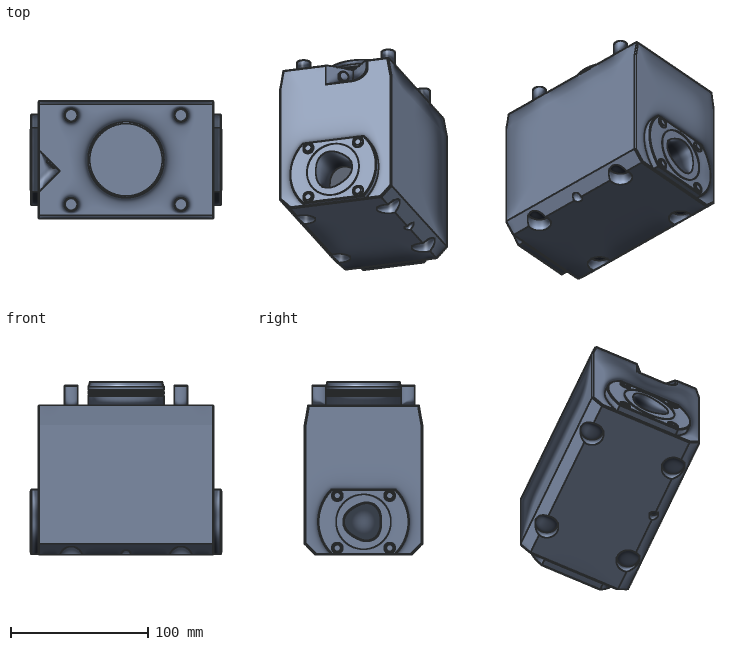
import cadquery as cq
import math

BODY_LENGTH = 128.0
BODY_WIDTH = 86.0
BODY_HEIGHT = 109.0
TOP_TAPER_ANGLE = 10.0
TOP_TAPER_HEIGHT = 14.6
BOTTOM_CHAMFER = 8.0
END_CHAMFER = 0.9

SPIGOT_HEIGHT = 17.0
SPIGOT_RADIUS = 55.4 / 2
SPIGOT_TOP_RADIUS = 52.8 / 2
SPIGOT_TAPER_RADIUS = 54.0 / 2
SPIGOT_TAPER_TOP = 14.8
SPIGOT_TAPER_BOTTOM = 13.3
GROOVE_DEPTH = 1.1
GROOVE_HALF_WIDTH = 1.0
UPPER_GROOVE_Z = 10.4
LOWER_GROOVE_Z = 7.5

SCREW_SPACING_X = 80.0
SCREW_SPACING_Y = 65.0
SCREW_DIAMETER = 10.0
SCREW_PROJECTION = 14.5
SCREW_TIP_CHAMFER = 0.6
HEAD_BORE_DIAMETER = 17.0
HEAD_BORE_DEPTH = 10.0

EDGE_BORE_DIAMETER = 6.9
EDGE_BORE_DEPTH = 10.0

FLANGE_THICKNESS = 5.4
FLANGE_DIAMETER = 66.5
FLANGE_HALF_HEIGHT = 23.7
FLANGE_EDGE_CHAMFER = 0.6
RING_DIAMETER = 40.0
OVERALL_LENGTH = 139.91
FLANGE_CENTRE_HEIGHT = 24.0
FLANGE_Z = FLANGE_CENTRE_HEIGHT - BODY_HEIGHT

FLANGE_SCREW_OFFSET = 19.1
FLANGE_BORE_DIAMETER = 8.0
FLANGE_BORE_DEPTH = 0.4
FLANGE_SCREW_DIAMETER = 7.2
FLANGE_SCREW_PROJECTION = 0.5
FLANGE_SCREW_RISE = FLANGE_BORE_DEPTH + FLANGE_SCREW_PROJECTION
FLANGE_SCREW_CONE_HEIGHT = 0.8
FLANGE_SCREW_CONE_WIDTH = 1.1

SOCKET_RADIUS = 14.0
SOCKET_LOBES = 3
SOCKET_LOBE_HEIGHT = 0.9
SOCKET_DEPTH = 30.0
SOCKET_TAPER_ANGLE = 1.4
SOCKET_POINTS = 24

POCKET_APEX_X = -48.2
POCKET_APEX_Y = -8.2
POCKET_DEPTH = 14.6
POCKET_FILLET = 8.5
POCKET_OPEN_WAY = (-1, -1, 0)
PLUG_DIAMETER = 8.0
PLUG_PROJECTION = 2.0
PLUG_CHAMFER = 0.6
PLUG_FROM_APEX = 8.2
PLUG_Z = -7.1

HALF_LENGTH = BODY_LENGTH / 2
HALF_WIDTH = BODY_WIDTH / 2


def make_body():
    """Block with tapered upper sides and chamfered lower edges."""
    top_half_width = HALF_WIDTH - TOP_TAPER_HEIGHT * math.tan(math.radians(TOP_TAPER_ANGLE))
    half_outline = [
        (top_half_width, 0),
        (HALF_WIDTH, -TOP_TAPER_HEIGHT),
        (HALF_WIDTH, BOTTOM_CHAMFER - BODY_HEIGHT),
        (HALF_WIDTH - BOTTOM_CHAMFER, -BODY_HEIGHT),
    ]
    mirrored = [(-y, z) for y, z in reversed(half_outline)]
    section = cq.Workplane("YZ").polyline(half_outline + mirrored).close()
    return section.extrude(HALF_LENGTH, both=True)


def pocket_plane():
    """Plane of the pocket's flat wall: origin at the apex, x towards it along the wall, y up."""
    return cq.Plane(origin=(POCKET_APEX_X, POCKET_APEX_Y, 0), xDir=(1, -1, 0), normal=POCKET_OPEN_WAY)


def make_pocket():
    """Pocket with a rounded corner between its floor and its second wall."""
    reach = 2 * (HALF_LENGTH + POCKET_APEX_X)
    return (
        cq.Workplane(pocket_plane())
        .lineTo(0, POCKET_FILLET - POCKET_DEPTH)
        .radiusArc((-POCKET_FILLET, -POCKET_DEPTH), POCKET_FILLET)
        .lineTo(-reach, -POCKET_DEPTH)
        .lineTo(-reach, 0)
        .close()
        .extrude(reach)
    )


def chamfer_ends(block):
    """Chamfer the end-face edges, leaving sharp the upright edge of the pocket's flat wall."""
    wall_edge_y = POCKET_APEX_Y + HALF_LENGTH + POCKET_APEX_X
    near = END_CHAMFER / 2
    wall_edge = cq.selectors.BoxSelector(
        (-HALF_LENGTH - near, wall_edge_y - near, -POCKET_DEPTH),
        (-HALF_LENGTH + near, wall_edge_y + near, 0),
    )
    all_but_wall_edge = cq.selectors.SubtractSelector(cq.selectors.Selector(), wall_edge)
    return block.faces("<X or >X").edges(all_but_wall_edge).chamfer(END_CHAMFER)


def make_plug():
    """Plug standing out of the pocket's flat wall."""
    return (
        cq.Workplane(pocket_plane())
        .center(-PLUG_FROM_APEX, PLUG_Z)
        .circle(PLUG_DIAMETER / 2)
        .extrude(PLUG_PROJECTION)
        .faces(cq.selectors.DirectionMinMaxSelector(cq.Vector(POCKET_OPEN_WAY)))
        .chamfer(PLUG_CHAMFER)
    )


def make_spigot():
    """Turned spigot with a tapered nose and two V grooves."""
    profile = [
        (0, 0),
        (SPIGOT_RADIUS, 0),
    ]
    for groove_z in (LOWER_GROOVE_Z, UPPER_GROOVE_Z):
        profile += [
            (SPIGOT_RADIUS, groove_z - GROOVE_HALF_WIDTH),
            (SPIGOT_RADIUS - GROOVE_DEPTH, groove_z),
            (SPIGOT_RADIUS, groove_z + GROOVE_HALF_WIDTH),
        ]
    profile += [
        (SPIGOT_RADIUS, SPIGOT_TAPER_BOTTOM),
        (SPIGOT_TAPER_RADIUS, SPIGOT_TAPER_TOP),
        (SPIGOT_TOP_RADIUS, SPIGOT_HEIGHT),
        (0, SPIGOT_HEIGHT),
    ]
    return cq.Workplane("XZ").polyline(profile).close().revolve(360, (0, 0), (0, 1))


def make_screws():
    """Four chamfered screw shanks standing on the mounting face."""
    return (
        cq.Workplane("XY")
        .rect(SCREW_SPACING_X, SCREW_SPACING_Y, forConstruction=True)
        .vertices()
        .circle(SCREW_DIAMETER / 2)
        .extrude(SCREW_PROJECTION)
        .faces(">Z")
        .chamfer(SCREW_TIP_CHAMFER)
    )


def make_bottom_bores():
    """Head bores in line with the screws, and the small bore at the front bottom edge."""
    bottom = cq.Workplane("XY", origin=(0, 0, -BODY_HEIGHT))
    head_bores = (
        bottom.rect(SCREW_SPACING_X, SCREW_SPACING_Y, forConstruction=True)
        .vertices()
        .circle(HEAD_BORE_DIAMETER / 2)
        .extrude(HEAD_BORE_DEPTH)
    )
    edge_bore = (
        bottom.center(0, BOTTOM_CHAMFER - HALF_WIDTH)
        .circle(EDGE_BORE_DIAMETER / 2)
        .extrude(EDGE_BORE_DEPTH)
    )
    return head_bores.union(edge_bore)


def make_socket(outer_x):
    """Tapered three-lobed cavity, opening at outer_x with one lobe towards -Y."""
    def lobed_section(plane, mean_radius):
        """Closed smooth curve whose radius swells once per lobe."""
        outline = []
        for step in range(SOCKET_POINTS):
            angle = 2 * math.pi * step / SOCKET_POINTS
            radius = mean_radius + SOCKET_LOBE_HEIGHT * math.cos(SOCKET_LOBES * angle)
            outline.append((radius * math.cos(angle), radius * math.sin(angle)))
        return plane.spline(outline, periodic=True).close().val()

    opening = cq.Workplane(cq.Plane(origin=(outer_x, 0, FLANGE_Z), xDir=(0, -1, 0), normal=(1, 0, 0)))
    bottom = opening.workplane(offset=SOCKET_DEPTH)
    bottom_radius = SOCKET_RADIUS - SOCKET_DEPTH * math.tan(math.radians(SOCKET_TAPER_ANGLE))
    sections = [lobed_section(opening, SOCKET_RADIUS), lobed_section(bottom, bottom_radius)]
    return cq.Workplane(cq.Solid.makeLoft(sections, True))


def make_flange():
    """Flange of the -X end, with its raised ring and screws."""
    base = cq.Workplane("YZ", origin=(-HALF_LENGTH, 0, FLANGE_Z))
    plate = base.circle(FLANGE_DIAMETER / 2).extrude(-FLANGE_THICKNESS)
    band = base.rect(FLANGE_DIAMETER, 2 * FLANGE_HALF_HEIGHT).extrude(-FLANGE_THICKNESS)
    plate = plate.intersect(band).faces("<X").chamfer(FLANGE_EDGE_CHAMFER)

    ring = base.circle(RING_DIAMETER / 2).extrude(HALF_LENGTH - OVERALL_LENGTH / 2)

    face = base.workplane(offset=-FLANGE_THICKNESS)
    screw_square = 2 * FLANGE_SCREW_OFFSET
    bores = (
        face.rect(screw_square, screw_square, forConstruction=True)
        .vertices()
        .circle(FLANGE_BORE_DIAMETER / 2)
        .extrude(FLANGE_BORE_DEPTH)
    )
    screws = (
        face.workplane(offset=FLANGE_BORE_DEPTH)
        .rect(screw_square, screw_square, forConstruction=True)
        .vertices()
        .circle(FLANGE_SCREW_DIAMETER / 2)
        .extrude(-FLANGE_SCREW_RISE)
        .faces("<X")
        .edges()
        .chamfer(FLANGE_SCREW_CONE_HEIGHT, FLANGE_SCREW_CONE_WIDTH)
    )
    return plate.union(ring).cut(bores).union(screws)


body = make_body().cut(make_pocket())
body = chamfer_ends(body)
body = body.cut(make_bottom_bores())

flange = make_flange()
result = (
    body.union(make_plug())
    .union(make_spigot())
    .union(make_screws())
    .union(flange)
    .union(flange.mirror("YZ"))
)
socket = make_socket(-OVERALL_LENGTH / 2)
result = result.cut(socket).cut(socket.mirror("YZ"))